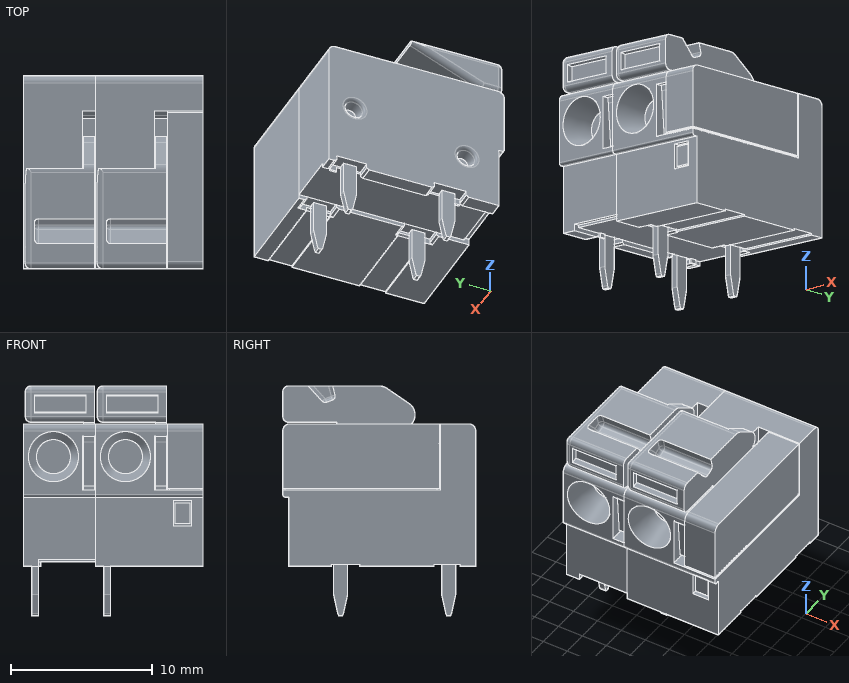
import cadquery as cq
import math


PITCH = 5.09
POLES = 2
WIDTH = 12.7
DEPTH = 13.65
HEIGHT = 10.08
TOP_ROUND = 0.5

LIP_DEPTH = 0.42
LIP_BOTTOM = 4.88
LIP_ROUND = 0.2

WIRE_X = 2.13
WIRE_Z = 7.75
WIRE_MOUTH_R = 1.77
WIRE_END_R = 1.2
WIRE_DEPTH = 2.37

DIMPLES = [(11.62, 5.1), (2.91, 3.56)]
DIMPLE_MOUTH_R = 0.93
DIMPLE_ROUND = 0.25
DIMPLE_END_R = 0.5
DIMPLE_DEPTH = 1.0

CAVITY_X = 4.18
CAVITY_BACK = 11.16
CAVITY_FLOOR = 5.38
WINDOW_TOP = 9.18
WELL_FLOOR = 7.31
WELL_BACK = 10.61
WELL_LEDGE_TOP = 8.78
WELL_LEDGE_LIP = (10.85, 8.55)
WELL_LEDGE_BOTTOM = 8.08

LEVER_LEFT = 0.13
LEVER_RIGHT = 5.04
LEVER_TOP = 12.75
HEAD_BOTTOM = 10.17
HEAD_FLAT = 1.61
HEAD_SLOPE = 22.4
HEAD_BACK = 7.1
HEAD_ROUND = 0.42
TONGUE_LEFT = 4.24
TONGUE_FRONT = 3.82
TONGUE_ROUND = 0.34
NOSE_Y = 9.36
NOSE_Z = 10.71
NOSE_R = 0.98
BACK_SLOPE = 34.4
FOOT_FACE = [(HEAD_ROUND, WINDOW_TOP), (0.47, 8.78), (0.72, 5.67)]
FOOT_HEEL_Y = 1.95

GROOVE_LEFT = 0.78
GROOVE_FRONT = 1.79
GROOVE_REAR = 3.53
GROOVE_VALLEY = (2.92, 11.52)
GROOVE_HEEL = (3.77, 11.85)
GROOVE_ROUND = 0.3
GROOVE_END_ROUND = 0.28
LABEL_LEFT = 0.78
LABEL_WIDTH = 3.65
LABEL_BOTTOM = 10.84
LABEL_HEIGHT = 1.27
LABEL_DEPTH = 0.45
LABEL_TAPER = 0.06

PIN_LEFT = 0.58
PIN_THICK = 0.5
PIN_WIDTH = 1.0
PIN_END = -3.5
PIN_TAPER_START = -2.0
PIN_TIP_CHAMFER_Z = -3.33
PIN_TIP_WIDE = 0.42
PIN_TIP_NARROW = 0.28
PIN_YS = [4.1, 11.73]

WALL_RIGHT = PIN_LEFT + PIN_THICK
NOTCH_TOP = 0.45
NOTCH_FLARE = 0.2
NOTCH_FLARE_HEIGHT = 0.13
NOTCHES = [(2.97, 5.45), (10.71, 13.03)]
CHANNELS = [(3.45, 5.45), (10.71, 12.55)]
STOPS = [(NOTCHES[0][0], CHANNELS[0][0]), (CHANNELS[1][1], NOTCHES[1][1])]
CHANNEL_TOP = 0.11
CHANNEL_MOUTH_TOP = 0.26
CHANNEL_MOUTH_LENGTH = 0.16
FOOT_RECESS_TOP = 0.31
FRONT_RECESS_TOP = 0.49
FRONT_RECESS_BACK = 0.81
STOP_THICK = 0.15

PLATE_LEFT = POLES * PITCH
PLATE_BOTTOM = 5.51
PLATE_BACK = 11.07
PLATE_FOOT_INSET = 0.16

POCKET_LEFT = 10.6
POCKET_RIGHT = 11.88
POCKET_BOTTOM = 2.86
POCKET_TOP = 4.66
POCKET_DEPTH = 0.4
PAD_SETBACK = 0.15
PAD_GAP_X = 0.11
PAD_GAP_Z = 0.18


def box(x0, x1, y0, y1, z0, z1):
    return cq.Workplane("XY").box(x1 - x0, y1 - y0, z1 - z0, centered=False).translate((x0, y0, z0))


def side_plane(x):
    """Plane at x whose local axes are Y and Z."""
    return cq.Workplane("YZ", origin=(x, 0, 0))


def housing_profile(x0, x1):
    """Housing block from x0 to x1 with a rounded top and a lip at the front."""
    block = box(x0, x1, 0, DEPTH, 0, HEIGHT).cut(box(x0, x1, 0, LIP_DEPTH, 0, LIP_BOTTOM))
    block = block.edges("|X and >Z").fillet(TOP_ROUND)
    lip_edge = cq.selectors.NearestToPointSelector(((x0 + x1) / 2, 0, LIP_BOTTOM))
    return block.edges(lip_edge).fillet(LIP_ROUND)


def wire_funnel(x0):
    cone = cq.Solid.makeCone(WIRE_MOUTH_R, WIRE_END_R, WIRE_DEPTH,
                             cq.Vector(x0 + WIRE_X, 0, WIRE_Z), cq.Vector(0, 1, 0))
    return cq.Workplane(cone)


def dimple(y, z):
    """Blind tapered hole with a rounded mouth, sunk into the left face."""
    throat = DIMPLE_MOUTH_R - DIMPLE_ROUND
    bend = DIMPLE_ROUND * math.sqrt(0.5)
    shape = (
        cq.Workplane("XY")
        .lineTo(0, DIMPLE_MOUTH_R)
        .threePointArc((DIMPLE_ROUND - bend, DIMPLE_MOUTH_R - bend), (DIMPLE_ROUND, throat))
        .lineTo(DIMPLE_DEPTH, DIMPLE_END_R)
        .lineTo(DIMPLE_DEPTH, 0)
        .close()
        .revolve(360, (0, 0), (1, 0))
    )
    return shape.translate((0, y, z))


def nose_center_y():
    return NOSE_Y - NOSE_R


def nose_bottom_y():
    """Where the rounded nose of the tongue meets the top of the housing."""
    return nose_center_y() + math.sqrt(NOSE_R**2 - (NOSE_Z - HEIGHT)**2)


def lever_cavity(x0):
    """Room for the tongue: front window, inner chamber and the open well behind."""
    return (
        side_plane(x0 + CAVITY_X)
        .moveTo(0, CAVITY_FLOOR)
        .lineTo(nose_bottom_y(), CAVITY_FLOOR)
        .lineTo(nose_bottom_y(), WELL_FLOOR)
        .lineTo(WELL_BACK, WELL_FLOOR)
        .lineTo(WELL_BACK, WELL_LEDGE_BOTTOM)
        .tangentArcPoint(WELL_LEDGE_LIP, relative=False)
        .lineTo(CAVITY_BACK, WELL_LEDGE_TOP)
        .lineTo(CAVITY_BACK, HEIGHT)
        .lineTo(TONGUE_FRONT, HEIGHT)
        .lineTo(TONGUE_FRONT, WINDOW_TOP)
        .lineTo(0, WINDOW_TOP)
        .close()
        .extrude(PITCH - CAVITY_X)
    )


def pin_notch(x0, front, back):
    """Gap in the left foot wall around one pin, flared at the bottom."""
    outline = [
        (front - NOTCH_FLARE, 0), (front, NOTCH_FLARE_HEIGHT), (front, NOTCH_TOP),
        (back, NOTCH_TOP), (back, NOTCH_FLARE_HEIGHT), (back + NOTCH_FLARE, 0),
    ]
    return side_plane(x0).polyline(outline).close().extrude(WALL_RIGHT)


def pole_housing(x0, x1):
    """Everything the housings of both poles have in common."""
    body = housing_profile(x0, x1).cut(wire_funnel(x0)).cut(lever_cavity(x0))
    for front, back in NOTCHES:
        body = body.cut(pin_notch(x0, front, back))
    return body


def make_first_housing():
    body = pole_housing(0, PITCH)
    for y, z in DIMPLES:
        body = body.cut(dimple(y, z))
    body = body.cut(box(WALL_RIGHT, PITCH, 0, DEPTH, 0, FOOT_RECESS_TOP))
    body = body.cut(box(WALL_RIGHT, PITCH, 0, FRONT_RECESS_BACK, 0, FRONT_RECESS_TOP))
    for front, back in STOPS:
        body = body.union(box(WALL_RIGHT, WALL_RIGHT + STOP_THICK, front, back, 0, FOOT_RECESS_TOP))
    return body


def foot_channel(front, back):
    """Shallow channel from a pin notch out to the right face, with a sloping mouth."""
    mouth = PITCH + WALL_RIGHT
    outline = [
        (mouth, 0), (mouth, CHANNEL_MOUTH_TOP), (mouth + CHANNEL_MOUTH_LENGTH, CHANNEL_TOP),
        (WIDTH, CHANNEL_TOP), (WIDTH, 0),
    ]
    return cq.Workplane("XZ", origin=(0, back, 0)).polyline(outline).close().extrude(back - front)


def front_pocket():
    return box(POCKET_LEFT, POCKET_RIGHT, LIP_DEPTH, LIP_DEPTH + POCKET_DEPTH, POCKET_BOTTOM, POCKET_TOP)


def front_pad():
    """Raised pad inside the pocket, set back from the front face."""
    return box(POCKET_LEFT + PAD_GAP_X, POCKET_RIGHT - PAD_GAP_X,
               LIP_DEPTH + PAD_SETBACK, LIP_DEPTH + POCKET_DEPTH,
               POCKET_BOTTOM + PAD_GAP_Z, POCKET_TOP - PAD_GAP_Z)


def make_end_housing():
    body = pole_housing(PITCH, WIDTH)
    body = body.cut(box(PLATE_LEFT, WIDTH, 0, CAVITY_BACK, CAVITY_FLOOR, HEIGHT))
    for front, back in CHANNELS:
        body = body.cut(foot_channel(front, back))
    return body.cut(front_pocket()).union(front_pad())


def make_end_plate():
    plate = housing_profile(PLATE_LEFT, WIDTH)
    plate = plate.intersect(box(PLATE_LEFT, WIDTH, 0, PLATE_BACK, PLATE_BOTTOM, HEIGHT))
    foot = box(PLATE_LEFT + PLATE_FOOT_INSET, WIDTH - PLATE_FOOT_INSET, PLATE_FOOT_INSET,
               PLATE_BACK - PLATE_FOOT_INSET, CAVITY_FLOOR, PLATE_BOTTOM)
    return plate.union(foot)


def lever_outline():
    """Side outline of the whole lever, extruded over its full width."""
    slope = math.radians(BACK_SLOPE)
    nose_top_y = nose_center_y() + NOSE_R * math.sin(slope)
    nose_top_z = NOSE_Z + NOSE_R * math.cos(slope)
    crest_y = nose_top_y - (LEVER_TOP - nose_top_z) / math.tan(slope)
    body = (
        side_plane(LEVER_LEFT)
        .moveTo(0, HEAD_BOTTOM)
        .lineTo(TONGUE_FRONT, HEAD_BOTTOM)
        .lineTo(TONGUE_FRONT, WINDOW_TOP)
        .polyline(FOOT_FACE, includeCurrent=True)
        .lineTo(FOOT_HEEL_Y, FOOT_FACE[-1][1])
        .lineTo(FOOT_HEEL_Y, CAVITY_FLOOR)
        .lineTo(nose_bottom_y(), CAVITY_FLOOR)
        .lineTo(nose_bottom_y(), HEIGHT)
        .threePointArc((NOSE_Y, NOSE_Z), (nose_top_y, nose_top_z))
        .lineTo(crest_y, LEVER_TOP)
        .lineTo(0, LEVER_TOP)
        .close()
        .extrude(LEVER_RIGHT - LEVER_LEFT)
    )
    crest = cq.selectors.NearestToPointSelector(((LEVER_LEFT + LEVER_RIGHT) / 2, crest_y, LEVER_TOP))
    return body.edges(crest).fillet(NOSE_R)


def lever_head_and_tongue():
    """Wide head with a sloping underside, joined to the thin tongue by a hollow round."""
    far = DEPTH
    slope_end = HEAD_BOTTOM + (HEAD_BACK - HEAD_FLAT) * math.tan(math.radians(HEAD_SLOPE))
    head = (
        side_plane(LEVER_LEFT)
        .polyline([(0, HEAD_BOTTOM), (HEAD_FLAT, HEAD_BOTTOM), (HEAD_BACK, slope_end),
                   (HEAD_BACK, far), (0, far)])
        .close()
        .extrude(LEVER_RIGHT - LEVER_LEFT)
    )
    left = cq.selectors.BoxSelector((LEVER_LEFT - 0.16, -0.16, 0), (LEVER_LEFT + 0.16, HEAD_BACK - 0.16, far - 0.16))
    head = head.edges(left + cq.selectors.NearestToPointSelector((PITCH / 2, 0, HEAD_BOTTOM)))
    head = head.fillet(HEAD_ROUND)
    tongue = box(TONGUE_LEFT, LEVER_RIGHT, HEAD_ROUND, far, 0, far)
    slope_middle = (TONGUE_LEFT, (HEAD_FLAT + HEAD_BACK) / 2, (HEAD_BOTTOM + slope_end) / 2)
    corner = cq.selectors.NearestToPointSelector(slope_middle)
    return head.union(tongue).edges(corner).fillet(TONGUE_ROUND)


def lever_top_cover():
    """Block that rounds the top edges of the head."""
    cover = box(LEVER_LEFT, LEVER_RIGHT, 0, DEPTH, 0, LEVER_TOP)
    exposed = "(|Y and <X and >Z) or (|X and <Y and >Z) or (|Z and <X and <Y)"
    return cover.edges(exposed).fillet(HEAD_ROUND)


def thumb_groove():
    """Undercut groove across the top, open to the right."""
    above = LEVER_TOP + 2 * GROOVE_ROUND
    ramp = (LEVER_TOP - GROOVE_VALLEY[1]) / (GROOVE_VALLEY[0] - GROOVE_FRONT)
    wall = (GROOVE_HEEL[0] - GROOVE_REAR) / (LEVER_TOP - GROOVE_HEEL[1])
    outline = [
        GROOVE_VALLEY, GROOVE_HEEL,
        (GROOVE_REAR - wall * (above - LEVER_TOP), above),
        (GROOVE_FRONT - (above - LEVER_TOP) / ramp, above),
    ]
    groove = side_plane(GROOVE_LEFT).polyline(outline).close().extrude(LEVER_RIGHT - GROOVE_LEFT)
    for y, z in (GROOVE_VALLEY, GROOVE_HEEL):
        edge = cq.selectors.NearestToPointSelector(((GROOVE_LEFT + LEVER_RIGHT) / 2, y, z))
        groove = groove.edges(edge).fillet(GROOVE_ROUND)
    return groove.faces("<X").edges("not >Z").fillet(GROOVE_END_ROUND)


def label_recess():
    center = (LABEL_LEFT + LABEL_WIDTH / 2, 0, LABEL_BOTTOM + LABEL_HEIGHT / 2)
    return (
        cq.Workplane("XZ", origin=center)
        .rect(LABEL_WIDTH, LABEL_HEIGHT)
        .workplane(offset=-LABEL_DEPTH)
        .rect(LABEL_WIDTH, LABEL_HEIGHT - 2 * LABEL_TAPER)
        .loft(ruled=True)
    )


def make_lever(x0):
    lever = lever_head_and_tongue()
    lever = lever.intersect(lever_outline()).intersect(lever_top_cover())
    lever = lever.cut(thumb_groove()).cut(label_recess())
    return lever.translate((x0, 0, 0))


def make_pin(x0, y):
    """Flat solder pin with a tapered, chamfered tip."""
    half_outline = [
        (PIN_WIDTH / 2, NOTCH_TOP), (PIN_WIDTH / 2, PIN_TAPER_START),
        (PIN_TIP_WIDE / 2, PIN_TIP_CHAMFER_Z), (PIN_TIP_NARROW / 2, PIN_END),
    ]
    other_half = [(-v, z) for v, z in reversed(half_outline)]
    pin = side_plane(x0 + PIN_LEFT).polyline(half_outline + other_half).close().extrude(PIN_THICK)
    return pin.translate((0, y, 0))


first_housing = make_first_housing()
end_housing = make_end_housing()
end_plate = make_end_plate()
levers = [make_lever(i * PITCH) for i in range(POLES)]
pins = [make_pin(i * PITCH, y) for i in range(POLES) for y in PIN_YS]

result = cq.Compound.makeCompound([
    first_housing.val(),
    end_housing.val(),
    end_plate.val(),
    *[lever.val() for lever in levers],
    *[pin.val() for pin in pins],
])